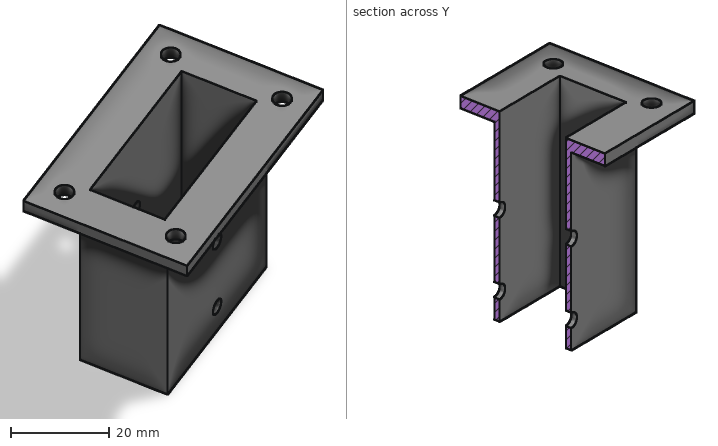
import cadquery as cq

flange_x = 38.1
flange_y = 57.15
flange_thickness = 3.0
flange_hole_diameter = 4.0
flange_hole_spacing_x = 25.9
flange_hole_spacing_y = 44.6

total_height = 49.0
cavity_x = 17.4
cavity_y = 38.5
wall_thickness = 1.5
tube_x = cavity_x + 2 * wall_thickness
tube_y = cavity_y + 2 * wall_thickness

cross_hole_diameter = 3.5
cross_hole_heights = (7.0, 26.0)


def make_body():
    """Tube standing on Z = 0 with the flange flush with its top."""
    tube = cq.Workplane("XY").box(tube_x, tube_y, total_height, centered=(True, True, False))
    flange = (
        cq.Workplane("XY")
        .workplane(offset=total_height - flange_thickness)
        .box(flange_x, flange_y, flange_thickness, centered=(True, True, False))
    )
    return tube.union(flange)


def cut_cavity(body):
    """Rectangular opening through the full height."""
    cavity = cq.Workplane("XY").box(cavity_x, cavity_y, total_height, centered=(True, True, False))
    return body.cut(cavity)


def cut_flange_holes(body):
    """Four screw holes near the flange corners."""
    return (
        body.faces(">Z")
        .workplane(origin=(0, 0, total_height))
        .rect(flange_hole_spacing_x, flange_hole_spacing_y, forConstruction=True)
        .vertices()
        .hole(flange_hole_diameter, flange_thickness)
    )


def cut_cross_holes(body):
    """Holes along X through both broad walls, on the tube's centre plane."""
    cutters = (
        cq.Workplane("YZ")
        .pushPoints([(0, height) for height in cross_hole_heights])
        .circle(cross_hole_diameter / 2)
        .extrude(tube_x, both=True)
    )
    return body.cut(cutters)


result = cut_cross_holes(cut_flange_holes(cut_cavity(make_body())))